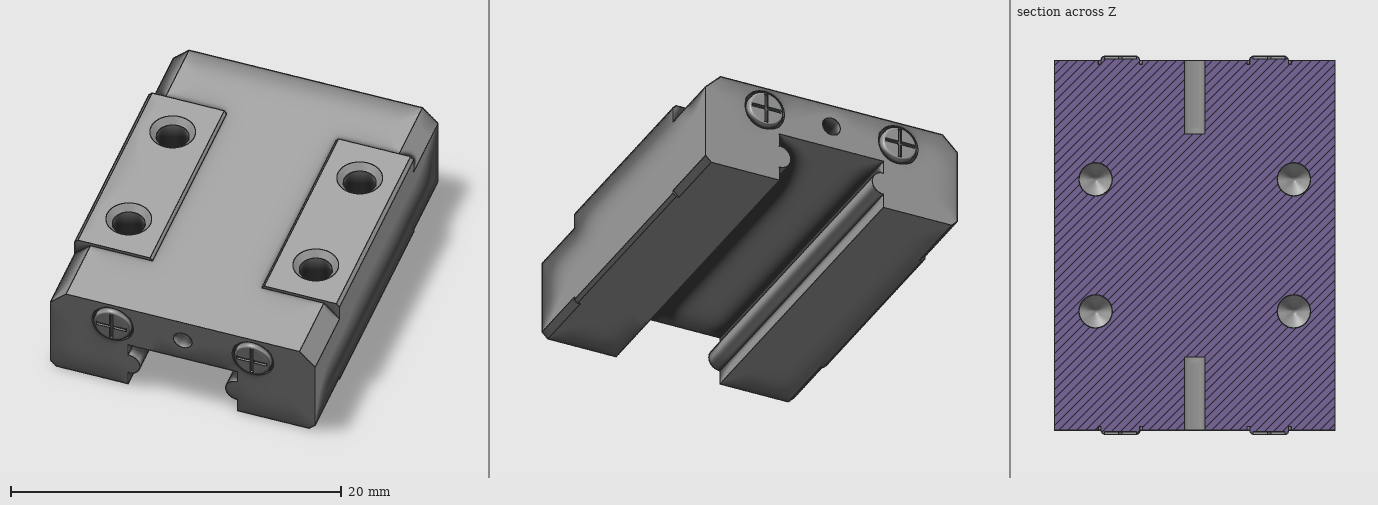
import cadquery as cq
import math


overall_length = 22.9
width = 17.0
height = 6.5

block_length = 13.5
screw_protrusion = 0.25
body_length = overall_length - 2 * screw_protrusion
cap_length = (body_length - block_length) / 2
pad_height = 0.2
deck_height = height - pad_height
pad_inner_x = 3.5
pad_inner_bevel = 0.15
block_chamfer = 0.2
cap_top_chamfer = 1.0
cap_bottom_chamfer = 0.4

channel_width = 7.0
channel_height = 3.3
rib_radius = 0.75
rib_height = 1.7

mount_spacing_x = 12.0
mount_spacing_y = 8.0
mount_diameter = 2.0
mount_countersink_diameter = 2.77
mount_depth = 2.98
countersink_angle = 90.0
drill_point_angle = 118.0

screw_height = 4.75
port_height = 4.8
screw_spacing = 9.0
screw_head_diameter = 2.35
screw_face_diameter = 1.85
screw_edge_radius = (screw_head_diameter - screw_face_diameter) / 2
screw_recess_diameter = 2.65
screw_recess_depth = 0.23
screw_slot_length = 1.92
screw_slot_width = 0.2
screw_slot_depth = 0.15
port_diameter = 1.2


def extrude_along_y(half_outline, y_start, length):
    """Mirror an open right-hand XZ outline about X = 0 and extrude it toward +Y."""
    left_side = [(-x, z) for x, z in reversed(half_outline)]
    outline = cq.Workplane("XZ", origin=(0, y_start, 0)).polyline(half_outline + left_side).close()
    return outline.extrude(-length)


def make_block():
    side = width / 2
    half_outline = [
        (side - block_chamfer, 0),
        (side, block_chamfer),
        (side, height - block_chamfer),
        (side - block_chamfer, height),
        (pad_inner_x + pad_inner_bevel, height),
        (pad_inner_x, deck_height),
    ]
    return extrude_along_y(half_outline, -block_length / 2, block_length)


def make_end_cap(y_start):
    side = width / 2
    half_outline = [
        (side - cap_bottom_chamfer, 0),
        (side, cap_bottom_chamfer),
        (side, deck_height - cap_top_chamfer),
        (side - cap_top_chamfer, deck_height),
    ]
    return extrude_along_y(half_outline, y_start, cap_length)


def make_channel():
    """Volume of the rail channel, less the two ribs on its walls."""
    start = cq.Workplane("XZ", origin=(0, -body_length / 2, 0))
    channel = start.rect(channel_width, 2 * channel_height).extrude(-body_length)
    rib_centers = [(side * channel_width / 2, rib_height) for side in (-1, 1)]
    ribs = start.pushPoints(rib_centers).circle(rib_radius).extrude(-body_length)
    return channel.cut(ribs)


def make_mount_hole():
    """Countersunk blind hole with a drill point, revolved about Z and opening at Z = 0."""
    radius = mount_diameter / 2
    sink_radius = mount_countersink_diameter / 2
    sink_depth = (sink_radius - radius) / math.tan(math.radians(countersink_angle / 2))
    point_depth = radius / math.tan(math.radians(drill_point_angle / 2))
    profile = [
        (0, 0),
        (sink_radius, 0),
        (radius, -sink_depth),
        (radius, -mount_depth),
        (0, -mount_depth - point_depth),
    ]
    return cq.Workplane("XZ").polyline(profile).close().revolve(360, (0, 0, 0), (0, 1, 0))


def make_screw_head():
    """Round-edged head with a cross slot, facing -Y, its inner end at Y = 0."""
    head_height = screw_recess_depth + screw_protrusion
    head = cq.Workplane("XZ").circle(screw_head_diameter / 2).extrude(head_height)
    head = head.faces("<Y").edges().fillet(screw_edge_radius)
    slot_floor = cq.Workplane("XZ", origin=(0, screw_slot_depth - head_height, 0))
    for slot_size in ((screw_slot_length, screw_slot_width), (screw_slot_width, screw_slot_length)):
        head = head.cut(slot_floor.rect(*slot_size).extrude(screw_slot_depth))
    return head


def fit_front_end(body):
    """Add the grease port and the two recessed screws to the -Y end face."""
    end_y = -body_length / 2
    port = cq.Workplane("XZ", origin=(0, end_y, port_height)).circle(port_diameter / 2)
    body = body.cut(port.extrude(-cap_length))
    for screw_x in (-screw_spacing / 2, screw_spacing / 2):
        recess = cq.Workplane("XZ", origin=(screw_x, end_y, screw_height)).circle(screw_recess_diameter / 2)
        head = make_screw_head().translate((screw_x, end_y + screw_recess_depth, screw_height))
        body = body.cut(recess.extrude(-screw_recess_depth)).union(head)
    return body


body = make_block()
for cap_start in (-body_length / 2, block_length / 2):
    body = body.union(make_end_cap(cap_start))
body = body.cut(make_channel())

for hole_x in (-mount_spacing_x / 2, mount_spacing_x / 2):
    for hole_y in (-mount_spacing_y / 2, mount_spacing_y / 2):
        body = body.cut(make_mount_hole().translate((hole_x, hole_y, height)))

body = fit_front_end(body)
body = body.rotate((0, 0, 0), (0, 0, 1), 180)
body = fit_front_end(body)

result = body